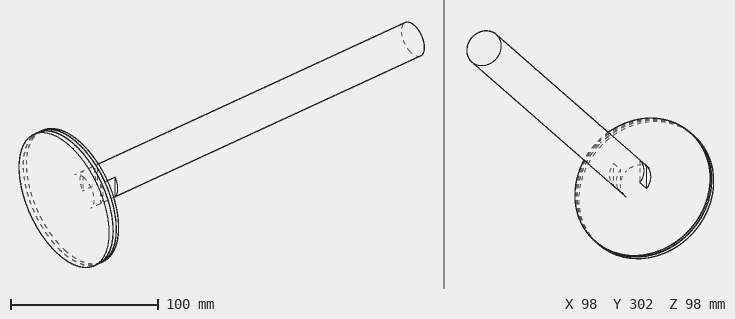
import cadquery as cq

total_length = 302.0
disc_diameter = 98.0
stem_diameter = 25.0

groove_start = 3.5
groove_end = 6.3
groove_depth = 0.3
rim_height = 9.0
rim_fillet = 2.0

cone_height = 15.7
root_fillet = 1.0

flat_start = 24.0
flat_end = 36.5
across_flats = 19.0

selection_margin = 0.3

disc_radius = disc_diameter / 2
stem_radius = stem_diameter / 2


def circle_at(height):
    """Selector for the circular edge at the given height along Y."""
    return cq.selectors.BoxSelector(
        (-disc_diameter, height - selection_margin, -disc_diameter),
        (disc_diameter, height + selection_margin, disc_diameter),
    )


def make_body():
    """Revolve the disc, its conical back and the stem around the Y axis."""
    profile = (
        cq.Workplane("XY")
        .lineTo(disc_radius, 0)
        .lineTo(disc_radius, rim_height)
        .lineTo(stem_radius, cone_height)
        .lineTo(stem_radius, total_length)
        .lineTo(0, total_length)
        .close()
    )
    body = profile.revolve(360, (0, 0, 0), (0, 1, 0))
    body = body.edges(circle_at(rim_height)).fillet(rim_fillet)
    return body.edges(circle_at(cone_height)).fillet(root_fillet)


def make_rim_groove():
    """Shallow ring that cuts a groove around the disc edge."""
    return (
        cq.Workplane("XZ", origin=(0, groove_start, 0))
        .circle(disc_radius)
        .circle(disc_radius - groove_depth)
        .extrude(groove_start - groove_end)
    )


def make_flat_cutter(side):
    """Block that cuts one flat on the +X (side = 1) or -X (side = -1) side."""
    flat_length = flat_end - flat_start
    return cq.Workplane("XY").box(stem_diameter, flat_length, stem_diameter).translate(
        (side * (across_flats + stem_diameter) / 2, (flat_start + flat_end) / 2, 0)
    )


result = make_body().cut(make_rim_groove())
for side in (-1, 1):
    result = result.cut(make_flat_cutter(side))